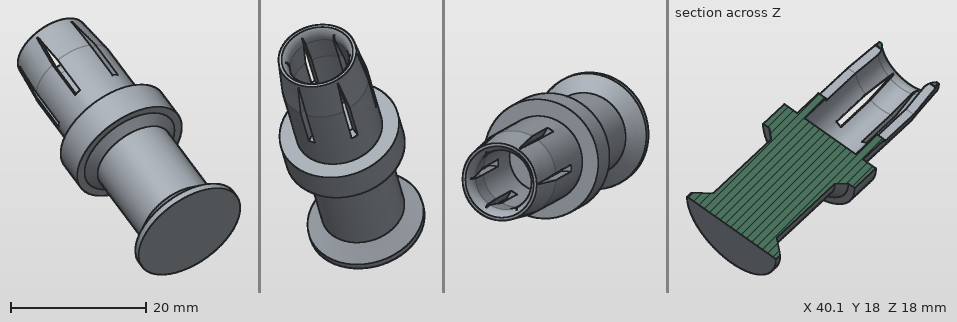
import cadquery as cq

length = 40.1

sleeve_diameter = 13.0
tip_diameter = 11.7
taper_length = 6.4

flange_diameter = 18.0
flange_start = 17.8
flange_end = 22.65
cone_diameter = 15.48
cone_end = 23.95

barrel_diameter = 12.5
flare_start = 37.0
rim_start = 39.1
rim_diameter = 17.5

mouth_diameter = 10.75
throat_diameter = 9.0
throat_position = 1.85
mouth_round_radius = 2.4
socket_diameter = 10.0
socket_depth = flange_start

slot_pairs = 3
slot_width = 1.05
slot_tip_width = 0.15
slot_start = 0.85
slot_end = 13.0


def make_body():
    """Revolve the outer outline about the X axis."""
    outline = (
        cq.Workplane("XY")
        .moveTo(0, 0)
        .lineTo(0, tip_diameter / 2)
        .lineTo(taper_length, sleeve_diameter / 2)
        .lineTo(flange_start, sleeve_diameter / 2)
        .lineTo(flange_start, flange_diameter / 2)
        .lineTo(flange_end, flange_diameter / 2)
        .lineTo(flange_end, cone_diameter / 2)
        .lineTo(cone_end, barrel_diameter / 2)
        .lineTo(flare_start, barrel_diameter / 2)
        .lineTo(rim_start, rim_diameter / 2)
        .lineTo(length, rim_diameter / 2)
        .lineTo(length, 0)
        .close()
    )
    return outline.revolve(360, (0, 0, 0), (1, 0, 0))


def make_socket():
    """Rounded mouth, narrow throat and a bore that widens behind it."""
    outline = (
        cq.Workplane("XY")
        .moveTo(0, 0)
        .lineTo(0, mouth_diameter / 2)
        .radiusArc((throat_position, throat_diameter / 2), -mouth_round_radius)
        .lineTo(taper_length, socket_diameter / 2)
        .lineTo(socket_depth, socket_diameter / 2)
        .lineTo(socket_depth, 0)
        .close()
    )
    return outline.revolve(360, (0, 0, 0), (1, 0, 0))


def make_slot_pair(angle):
    """Two opposite slots, narrowing along the tapered tip."""
    profile = [
        (slot_start, slot_tip_width / 2),
        (taper_length, slot_width / 2),
        (slot_end, slot_width / 2),
        (slot_end, -slot_width / 2),
        (taper_length, -slot_width / 2),
        (slot_start, -slot_tip_width / 2),
    ]
    slot = cq.Workplane("XZ").polyline(profile).close()
    slot = slot.extrude(sleeve_diameter, both=True)
    return slot.rotate((0, 0, 0), (1, 0, 0), angle)


result = make_body().cut(make_socket())
for index in range(slot_pairs):
    result = result.cut(make_slot_pair(index * 180 / slot_pairs))